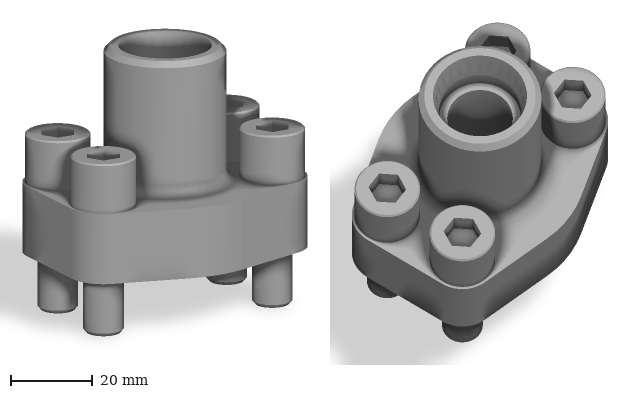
import cadquery as cq
import math

shank_projection = 14.6
flange_thickness = 17.8
head_height = 12.5
total_height = 66.5
flange_top = shank_projection + flange_thickness
head_top = flange_top + head_height

side_radius = 26.0
flange_depth = 65.0
bolt_x = 11.1
bolt_y = 23.8
corner_radius = flange_depth / 2 - bolt_y

neck_diameter = 30.0
neck_chamfer = 1.4
neck_fillet = 2.7

bore_diameter = 16.0
socket_diameter = 20.0
socket_depth = 10.65
mouth_diameter = 22.95
cone_half_angle = 12.0
cone_depth = (mouth_diameter - socket_diameter) / 2 / math.tan(math.radians(cone_half_angle))

head_diameter = 16.0
head_chamfer = 0.4
shank_diameter = 10.0
tip_chamfer = 0.8
tip_chamfer_height = 0.9
hex_across_flats = 8.0
hex_across_corners = hex_across_flats / math.cos(math.radians(30))
hex_depth = 5.0


def tangent_angle():
    """Angle from X to the normal of the line touching a side arc and its corner arc."""
    center_distance = math.hypot(bolt_x, bolt_y)
    center_angle = math.atan2(bolt_y, bolt_x)
    return center_angle - math.acos((side_radius - corner_radius) / center_distance)


def make_flange():
    angle = tangent_angle()
    side_end_x = side_radius * math.cos(angle)
    side_end_y = side_radius * math.sin(angle)
    corner_start_x = bolt_x + corner_radius * math.cos(angle)
    corner_start_y = bolt_y + corner_radius * math.sin(angle)
    middle_angle = (angle + math.pi / 2) / 2
    corner_mid_x = bolt_x + corner_radius * math.cos(middle_angle)
    corner_mid_y = bolt_y + corner_radius * math.sin(middle_angle)
    end_y = flange_depth / 2
    return (
        cq.Workplane("XY", origin=(0, 0, shank_projection))
        .moveTo(side_end_x, -side_end_y)
        .threePointArc((side_radius, 0), (side_end_x, side_end_y))
        .lineTo(corner_start_x, corner_start_y)
        .threePointArc((corner_mid_x, corner_mid_y), (bolt_x, end_y))
        .lineTo(-bolt_x, end_y)
        .threePointArc((-corner_mid_x, corner_mid_y), (-corner_start_x, corner_start_y))
        .lineTo(-side_end_x, side_end_y)
        .threePointArc((-side_radius, 0), (-side_end_x, -side_end_y))
        .lineTo(-corner_start_x, -corner_start_y)
        .threePointArc((-corner_mid_x, -corner_mid_y), (-bolt_x, -end_y))
        .lineTo(bolt_x, -end_y)
        .threePointArc((corner_mid_x, -corner_mid_y), (corner_start_x, -corner_start_y))
        .close()
        .extrude(flange_thickness)
    )


def make_neck():
    """Pipe neck revolved about Z, with its concave root fillet and chamfered rim."""
    radius = neck_diameter / 2
    root_radius = radius + neck_fillet
    fillet_offset = neck_fillet * math.cos(math.radians(45))
    fillet_mid = (root_radius - fillet_offset, flange_top + neck_fillet - fillet_offset)
    return (
        cq.Workplane("XZ")
        .moveTo(0, shank_projection)
        .lineTo(root_radius, shank_projection)
        .lineTo(root_radius, flange_top)
        .threePointArc(fillet_mid, (radius, flange_top + neck_fillet))
        .lineTo(radius, total_height - neck_chamfer)
        .lineTo(radius - neck_chamfer, total_height)
        .lineTo(0, total_height)
        .close()
        .revolve()
    )


def make_bore():
    """Cutter for the through bore, the counterbore and the conical mouth."""
    return (
        cq.Workplane("XZ")
        .moveTo(0, shank_projection)
        .lineTo(bore_diameter / 2, shank_projection)
        .lineTo(bore_diameter / 2, total_height - socket_depth)
        .lineTo(socket_diameter / 2, total_height - socket_depth)
        .lineTo(socket_diameter / 2, total_height - cone_depth)
        .lineTo(mouth_diameter / 2, total_height)
        .lineTo(0, total_height)
        .close()
        .revolve()
    )


def make_bolt():
    shank = (
        cq.Workplane("XY")
        .circle(shank_diameter / 2)
        .extrude(flange_top)
        .faces("<Z")
        .chamfer(tip_chamfer_height, tip_chamfer)
    )
    head = (
        cq.Workplane("XY", origin=(0, 0, flange_top))
        .circle(head_diameter / 2)
        .extrude(head_height)
        .faces(">Z")
        .chamfer(head_chamfer)
    )
    socket = (
        cq.Workplane("XY", origin=(0, 0, head_top - hex_depth))
        .transformed(rotate=(0, 0, 90))
        .polygon(6, hex_across_corners)
        .extrude(hex_depth)
    )
    return shank.union(head).cut(socket)


result = make_flange().union(make_neck()).cut(make_bore())
bolt = make_bolt()
for x in (-bolt_x, bolt_x):
    for y in (-bolt_y, bolt_y):
        result = result.union(bolt.translate((x, y, 0)))